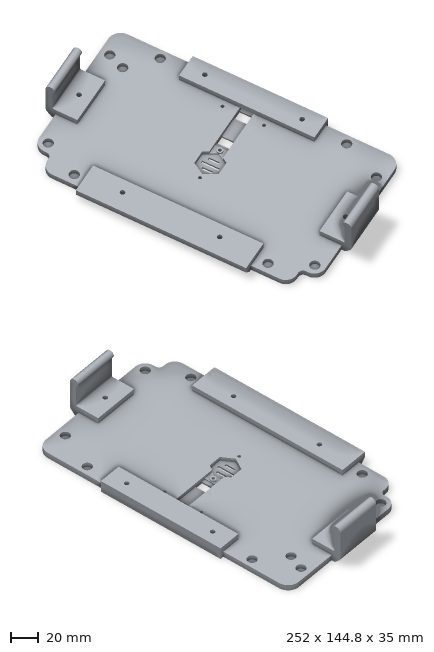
import cadquery as cq
import math

PLATE_WIDTH = 235.9
PLATE_THICKNESS = 5.0
PLATE_BACK = 67.0
PLATE_FRONT = -67.8
BACK_CORNER_RADIUS = 10.0
FRONT_CORNER_RADIUS = 9.0
NOTCH_WIDTH = 15.0
NOTCH_DEPTH = 15.0
NOTCH_FILLET = 4.0

RAIL_TOP = 10.3
BACK_RAIL_LENGTH = 111.6
BACK_RAIL_EDGE = 70.0
BACK_RAIL_DEPTH = 20.0
FRONT_RAIL_LENGTH = 140.4
FRONT_RAIL_EDGE = -74.8
FRONT_RAIL_DEPTH = 25.2
EDGE_BEVEL = 5.0

OVERALL_WIDTH = 252.0
HOOK_LENGTH = 40.3
HOOK_HEIGHT = 35.0
HOOK_WALL = 5.5
HOOK_FOOT = 26.2
LIP_OUTER_RADIUS = 4.0
LIP_INNER_RADIUS = 3.3
FOOT_FILLET = 1.0
BEVEL_BLEND_RADIUS = 4.0

SCREW_DIAMETER = 4.0
RAIL_SCREW_X = 40.0
RAIL_SCREW_Y = 60.0
HOOK_SCREW_X = 109.9

POCKET_DIAMETER = 8.0
POCKET_DEPTH = 4.0
SIDE_POCKET_Y = 44.9
BACK_POCKET_X = 76.9
FRONT_POCKET_X = 80.0
EXTRA_POCKET = (-96.3, 39.5)

CHANNEL_WIDTH = 11.3
CHANNEL_BACK = 52.7
CHANNEL_DEPTH = 3.5
WINDOW_SPANS = ((42.0, 49.6), (17.0, 24.0))
CHANNEL_FRONT = 13.9
LEDGE_DEPTH = 2.5
HEX_Y = -2.8
HEX_RADIUS = 11.5
HEX_DEPTH = 3.5
HEX_TURN = 30
SLOT_WIDTH = 2.0
SLOT_PITCH = 4.8
SHORT_SLOT = 8.5
LONG_SLOT = 14.5

PIN_DIAMETER = 2.8
PIN_X = 17.1
PIN_Y = 45.0
FRONT_PIN_Y = -18.0

BOSS_DIAMETER = 5.0
BOSS_Y = 11.0
BOSS_TOP_DEPTH = 1.0


def box(x_min, x_max, y_min, y_max, z_min, z_max):
    """Axis-aligned block between the given limits."""
    size = (x_max - x_min, y_max - y_min, z_max - z_min)
    return cq.Workplane("XY").box(*size, centered=False).translate((x_min, y_min, z_min))


def drill(points, diameter, z_min, z_max):
    """Upright cylinders at the given points."""
    return (
        cq.Workplane("XY", origin=(0, 0, z_min))
        .pushPoints(points)
        .circle(diameter / 2)
        .extrude(z_max - z_min)
    )


def mirrored(x, y):
    """The same point on both sides of the centre line."""
    return [(-x, y), (x, y)]


def round_corner(plate, x, y, radius):
    """Fillet the upright plate edge at the given place."""
    corner = cq.selectors.NearestToPointSelector((x, y, PLATE_THICKNESS / 2))
    return plate.edges(corner).fillet(radius)


def base_plate():
    """Rounded plate with its two front corners notched."""
    half = PLATE_WIDTH / 2
    plate = box(-half, half, PLATE_FRONT, PLATE_BACK, 0, PLATE_THICKNESS)
    for side in (-1, 1):
        notch_x = side * (half - NOTCH_WIDTH)
        notch_y = PLATE_FRONT + NOTCH_DEPTH
        x_limits = sorted((notch_x, side * half))
        plate = plate.cut(box(*x_limits, PLATE_FRONT, notch_y, 0, PLATE_THICKNESS))
        plate = round_corner(plate, notch_x, notch_y, NOTCH_FILLET)
        plate = round_corner(plate, side * half, PLATE_BACK, BACK_CORNER_RADIUS)
        plate = round_corner(plate, side * half, notch_y, FRONT_CORNER_RADIUS)
        plate = round_corner(plate, notch_x, PLATE_FRONT, FRONT_CORNER_RADIUS)
    return plate


def back_rail():
    """Square-edged rail that overhangs the back of the plate."""
    half = BACK_RAIL_LENGTH / 2
    inner = BACK_RAIL_EDGE - BACK_RAIL_DEPTH
    rail = box(-half, half, inner, BACK_RAIL_EDGE, PLATE_THICKNESS, RAIL_TOP)
    return rail.union(box(-half, half, PLATE_BACK, BACK_RAIL_EDGE, 0, RAIL_TOP))


def front_rail():
    """Rail that overhangs the front of the plate, bevelled underneath."""
    inner = FRONT_RAIL_EDGE + FRONT_RAIL_DEPTH
    profile = [
        (inner, RAIL_TOP),
        (FRONT_RAIL_EDGE, RAIL_TOP),
        (FRONT_RAIL_EDGE, EDGE_BEVEL),
        (FRONT_RAIL_EDGE + EDGE_BEVEL, 0),
        (PLATE_FRONT, 0),
        (PLATE_FRONT, PLATE_THICKNESS),
        (inner, PLATE_THICKNESS),
    ]
    return cq.Workplane("YZ").polyline(profile).close().extrude(FRONT_RAIL_LENGTH / 2, both=True)


def left_hook():
    """Upright wall with a rounded lip, a foot on the plate and a bevelled heel."""
    outer = -OVERALL_WIDTH / 2
    inner = outer + HOOK_WALL
    toe = outer + HOOK_FOOT
    plate_edge = -PLATE_WIDTH / 2
    crest = outer + LIP_OUTER_RADIUS
    slope = math.sqrt(0.5)
    outer_center_z = HOOK_HEIGHT - LIP_OUTER_RADIUS
    inner_center_z = HOOK_HEIGHT - LIP_INNER_RADIUS
    outer_mid = (crest - slope * LIP_OUTER_RADIUS, outer_center_z + slope * LIP_OUTER_RADIUS)
    nose = (crest + LIP_INNER_RADIUS, inner_center_z)
    lip_end_z = inner_center_z - math.sqrt(LIP_INNER_RADIUS**2 - (inner - crest) ** 2)
    hook = (
        cq.Workplane("XZ")
        .moveTo(plate_edge, 0)
        .lineTo(outer + EDGE_BEVEL, 0)
        .lineTo(outer, EDGE_BEVEL)
        .lineTo(outer, outer_center_z)
        .threePointArc(outer_mid, (crest, HOOK_HEIGHT))
        .threePointArc(nose, (inner, lip_end_z))
        .lineTo(inner, RAIL_TOP)
        .lineTo(toe, RAIL_TOP)
        .lineTo(toe, PLATE_THICKNESS)
        .lineTo(plate_edge, PLATE_THICKNESS)
        .close()
        .extrude(HOOK_LENGTH / 2, both=True)
    )
    heel = cq.selectors.NearestToPointSelector((outer, 0, EDGE_BEVEL))
    foot_corner = cq.selectors.NearestToPointSelector((inner, 0, RAIL_TOP))
    return hook.edges(heel).fillet(BEVEL_BLEND_RADIUS).edges(foot_corner).fillet(FOOT_FILLET)


def channel():
    """Stepped channel, its two windows and the hexagonal recess with three slots."""
    half = CHANNEL_WIDTH / 2
    top = PLATE_THICKNESS
    cut = box(-half, half, CHANNEL_FRONT, CHANNEL_BACK, top - CHANNEL_DEPTH, top)
    cut = cut.union(box(-half, half, HEX_Y, CHANNEL_FRONT, top - LEDGE_DEPTH, top))
    for y_min, y_max in WINDOW_SPANS:
        cut = cut.union(box(-half, half, y_min, y_max, 0, top))
    hexagon = (
        cq.Workplane("XY", origin=(0, HEX_Y, top - HEX_DEPTH))
        .polygon(6, 2 * HEX_RADIUS)
        .extrude(HEX_DEPTH)
        .rotate((0, HEX_Y, 0), (0, HEX_Y, 1), HEX_TURN)
    )
    cut = cut.union(hexagon)
    for row, length in ((-1, SHORT_SLOT), (0, LONG_SLOT), (1, SHORT_SLOT)):
        y = HEX_Y + row * SLOT_PITCH
        slot = box(-length / 2, length / 2, y - SLOT_WIDTH / 2, y + SLOT_WIDTH / 2, 0, top)
        cut = cut.union(slot)
    return cut


def screw_holes():
    """Through holes in the rails and the hook feet."""
    points = mirrored(RAIL_SCREW_X, RAIL_SCREW_Y) + mirrored(RAIL_SCREW_X, -RAIL_SCREW_Y)
    points += mirrored(HOOK_SCREW_X, 0)
    return drill(points, SCREW_DIAMETER, 0, RAIL_TOP)


def pockets():
    """Blind round pockets around the rim of the plate."""
    points = mirrored(HOOK_SCREW_X, SIDE_POCKET_Y) + mirrored(HOOK_SCREW_X, -SIDE_POCKET_Y)
    points += mirrored(BACK_POCKET_X, RAIL_SCREW_Y) + mirrored(FRONT_POCKET_X, -RAIL_SCREW_Y)
    points.append(EXTRA_POCKET)
    return drill(points, POCKET_DIAMETER, PLATE_THICKNESS - POCKET_DEPTH, PLATE_THICKNESS)


def pin_holes():
    """Small through holes, one of them down the boss."""
    points = mirrored(PIN_X, PIN_Y) + [(0, FRONT_PIN_Y), (0, BOSS_Y)]
    return drill(points, PIN_DIAMETER, 0, PLATE_THICKNESS)


def boss():
    """Round post standing on the channel ledge."""
    floor = PLATE_THICKNESS - LEDGE_DEPTH
    return drill([(0, BOSS_Y)], BOSS_DIAMETER, floor, PLATE_THICKNESS - BOSS_TOP_DEPTH)


hook = left_hook()
body = base_plate().union(back_rail()).union(front_rail())
body = body.union(hook).union(hook.mirror("YZ"))
body = body.cut(channel()).union(boss())
result = body.cut(screw_holes()).cut(pockets()).cut(pin_holes())